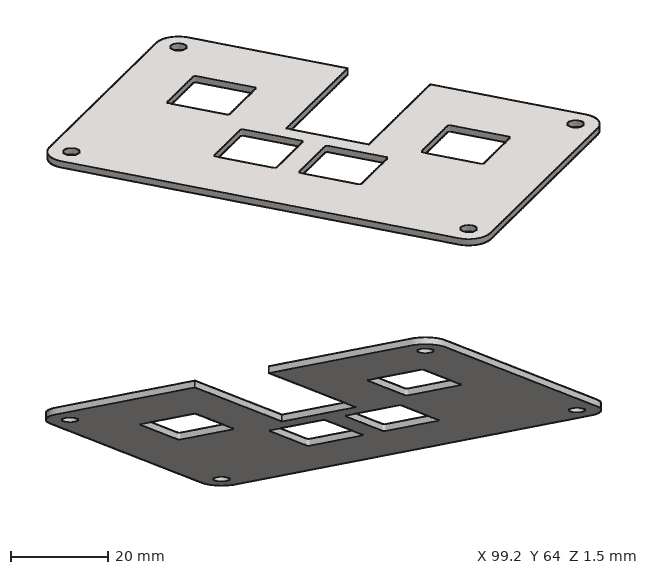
import cadquery as cq

LENGTH = 99.2
WIDTH = 64.0
THICKNESS = 1.5
CORNER_RADIUS = 5.0

HOLE_DIAMETER = 3.4

CUTOUT_SIZE = 14.0
CUTOUT_CORNER_RADIUS = 0.5
CUTOUT_PITCH = 19.0
GRID_CENTER_X = -0.6
GRID_CENTER_Y = -0.55
UPPER_ROW_Y = GRID_CENTER_Y + CUTOUT_PITCH / 2
LOWER_ROW_Y = GRID_CENTER_Y - CUTOUT_PITCH / 2

NOTCH_WIDTH = 18.6
NOTCH_DEPTH = 31.1
NOTCH_CENTER_X = 0.5


def make_plate():
    """Flat plate with four rounded corners."""
    plate = cq.Workplane("XY").rect(LENGTH, WIDTH).extrude(THICKNESS)
    return plate.edges("|Z").fillet(CORNER_RADIUS)


def make_mounting_holes():
    """Four through-hole cutters at the corner-arc centres."""
    spacing_x = LENGTH - 2 * CORNER_RADIUS
    spacing_y = WIDTH - 2 * CORNER_RADIUS
    centers = cq.Workplane("XY").rect(spacing_x, spacing_y, forConstruction=True).vertices()
    return centers.circle(HOLE_DIAMETER / 2).extrude(THICKNESS)


def make_switch_cutouts():
    """Four square cutters with slightly rounded corners."""
    outer_x = 1.5 * CUTOUT_PITCH
    inner_x = 0.5 * CUTOUT_PITCH
    centers = []
    for side in (-1, 1):
        centers.append((GRID_CENTER_X + side * outer_x, UPPER_ROW_Y))
        centers.append((GRID_CENTER_X + side * inner_x, LOWER_ROW_Y))
    squares = cq.Workplane("XY").pushPoints(centers).rect(CUTOUT_SIZE, CUTOUT_SIZE)
    return squares.extrude(THICKNESS).edges("|Z").fillet(CUTOUT_CORNER_RADIUS)


def make_notch():
    """Rectangular notch cutter reaching the +Y edge."""
    center_y = WIDTH / 2 - NOTCH_DEPTH / 2
    notch = cq.Workplane("XY").center(NOTCH_CENTER_X, center_y).rect(NOTCH_WIDTH, NOTCH_DEPTH)
    return notch.extrude(THICKNESS)


result = make_plate().cut(make_mounting_holes()).cut(make_switch_cutouts()).cut(make_notch())